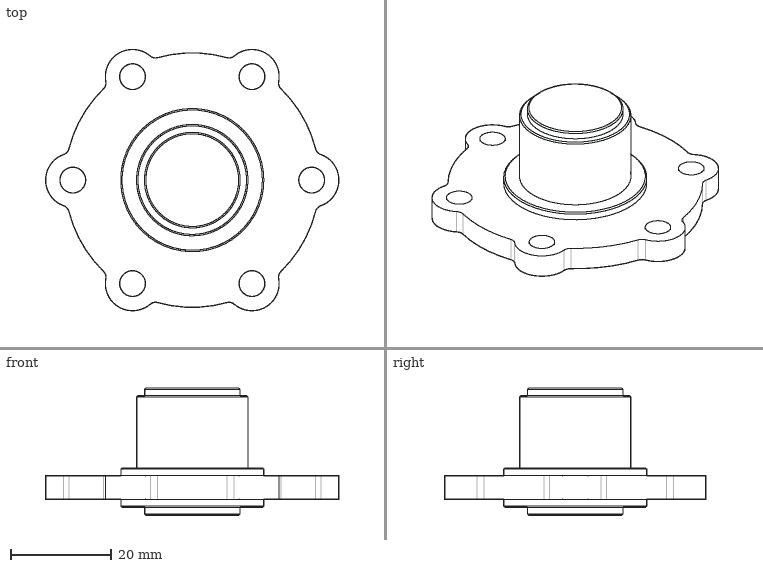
import cadquery as cq
import math

overall_width = 58.5
lobe_radius = 5.45
bolt_circle_radius = overall_width / 2 - lobe_radius
lobe_count = 6
bolt_hole_diameter = 5.1
flange_diameter = 50.8
lobe_blend_radius = 1.6
flange_thickness = 4.75
rim_tolerance = 0.005

step_height = 1.6
boss_height = 14.4
tip_height = 1.5
spigot_diameter = 19.1
collar_diameter = 28.55
boss_diameter = 22.25
edge_chamfer = 0.3

lower_collar_z = step_height
flange_z = lower_collar_z + step_height
upper_collar_z = flange_z + flange_thickness
boss_z = upper_collar_z + step_height
tip_z = boss_z + boss_height


def disc(diameter, height, base_z, chamfered_face):
    """Cylinder about Z with the edge of one end face chamfered."""
    body = cq.Workplane("XY").workplane(offset=base_z).circle(diameter / 2).extrude(height)
    return body.faces(chamfered_face).edges().chamfer(edge_chamfer)


def bolt_pattern(radius):
    """Cylinders through the flange at every bolt position."""
    return (
        cq.Workplane("XY")
        .workplane(offset=flange_z)
        .polarArray(bolt_circle_radius, 0, 360, lobe_count)
        .circle(radius)
        .extrude(flange_thickness)
    )


def is_on_rim(edge):
    """True for an edge lying on the cylindrical rim of the flange."""
    center = edge.Center()
    return abs(math.hypot(center.x, center.y) - flange_diameter / 2) < rim_tolerance


def flange():
    """Round plate with lobes blended into its rim and a hole in each lobe."""
    plate = cq.Workplane("XY").workplane(offset=flange_z)
    plate = plate.circle(flange_diameter / 2).extrude(flange_thickness)
    plate = plate.union(bolt_pattern(lobe_radius))
    plate = plate.edges("|Z").filter(is_on_rim).fillet(lobe_blend_radius)
    return plate.cut(bolt_pattern(bolt_hole_diameter / 2))


result = (
    flange()
    .union(disc(spigot_diameter, step_height, 0, "<Z"))
    .union(disc(collar_diameter, step_height, lower_collar_z, "<Z"))
    .union(disc(collar_diameter, step_height, upper_collar_z, ">Z"))
    .union(disc(boss_diameter, boss_height, boss_z, ">Z"))
    .union(disc(spigot_diameter, tip_height, tip_z, ">Z"))
)